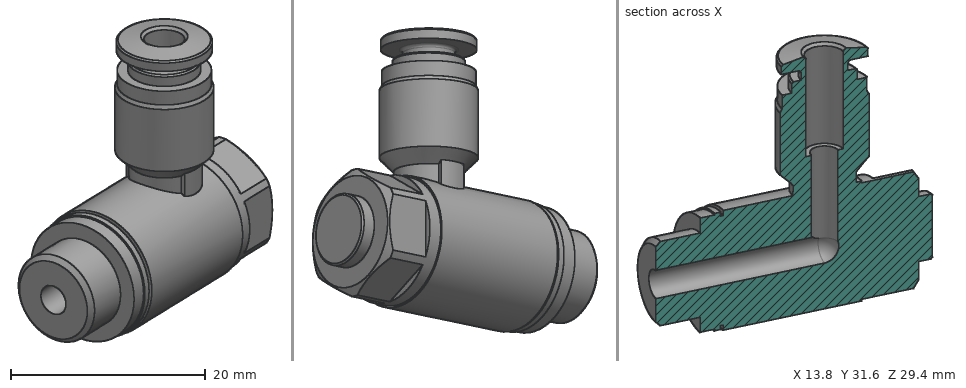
import cadquery as cq
import math

total_length = 31.55
total_height = 29.4
thread_diameter = 9.72
thread_chamfer = 0.55
thread_end = 5.05
seal_diameter = 13.15
seal_end = 6.7
washer_diameter = 13.5
washer_end = 7.4
neck_diameter = 12.62
neck_end = 7.7
body_diameter = 13.8
body_end = 23.47
collar_diameter = 13.4
collar_end = 24.95

hex_across_flats = 12.02
hex_end = 29.97
hex_bevel_diameter = 11.67
hex_bevel_length = 0.6
cap_diameter = 7.5
cap_chamfer = 0.2

port_y = 19.25
stem_diameter = 7.25
stem_top = 8.05
sleeve_diameter = 10.2
sleeve_bottom = 9.53
sleeve_top = 16.65
sleeve_shoulder = 17.07
guide_diameter = 9.72
guide_top = 18.65
collet_diameter = 7.5
collet_top = 19.9
collet_chamfer = 0.2
groove_diameter = 5.4
rim_diameter = 9.9
rim_bottom = 20.98
rim_chamfer = 0.2
rim_edge = 22.12
port_top = total_height - body_diameter / 2
groove_fillet = 0.35

rib_diameter = 8.0
rib_width = 3.05
rib_top = 8.58

inlet_diameter = 3.2
outlet_diameter = 3.0
tube_diameter = 4.2
tube_mouth_chamfer = 0.3
tube_seat = 11.05


def cylinder_y(diameter, start, end):
    """Cylinder on the body axis between two Y stations."""
    return cq.Workplane("XZ", origin=(0, start, 0)).circle(diameter / 2).extrude(start - end)


def cylinder_z(diameter, bottom, top):
    """Cylinder on the port axis between two heights."""
    return cq.Workplane("XY", origin=(0, port_y, bottom)).circle(diameter / 2).extrude(top - bottom)


def make_body():
    body = cylinder_y(thread_diameter, 0, thread_end).faces("<Y").chamfer(thread_chamfer)
    sections = [
        (seal_diameter, thread_end, seal_end),
        (washer_diameter, seal_end, washer_end),
        (neck_diameter, washer_end, neck_end),
        (body_diameter, neck_end, body_end),
        (collar_diameter, body_end, collar_end),
    ]
    for diameter, start, end in sections:
        body = body.union(cylinder_y(diameter, start, end))
    cap = cylinder_y(cap_diameter, hex_end, total_length).faces(">Y").chamfer(cap_chamfer)
    return body.union(cap)


def make_hex_nut():
    """Hexagon with flats facing +X and -X, its corners trimmed round and bevelled."""
    hexagon = (
        cq.Workplane("XZ", origin=(0, collar_end, 0))
        .polygon(6, hex_across_flats, circumscribed=True)
        .extrude(collar_end - hex_end)
    )
    envelope = (
        cq.Workplane("XY")
        .moveTo(0, collar_end)
        .lineTo(collar_diameter / 2, collar_end)
        .lineTo(collar_diameter / 2, hex_end - hex_bevel_length)
        .lineTo(hex_bevel_diameter / 2, hex_end)
        .lineTo(0, hex_end)
        .close()
        .revolve(360, (0, 0, 0), (0, 1, 0))
    )
    return hexagon.intersect(envelope)


def make_port():
    """Stem, sleeve, guide, collet and release rim as one revolved profile."""
    groove_radius = groove_diameter / 2
    rim_radius = rim_diameter / 2
    collet_radius = collet_diameter / 2
    mouth_radius = tube_diameter / 2 + tube_mouth_chamfer
    fillet_offset = groove_fillet * (1 - math.sqrt(0.5))
    port = (
        cq.Workplane("XZ")
        .moveTo(0, 0)
        .lineTo(stem_diameter / 2, 0)
        .lineTo(stem_diameter / 2, stem_top)
        .lineTo(sleeve_diameter / 2, sleeve_bottom)
        .lineTo(sleeve_diameter / 2, sleeve_top)
        .lineTo(guide_diameter / 2, sleeve_shoulder)
        .lineTo(guide_diameter / 2, guide_top)
        .lineTo(collet_radius, guide_top)
        .lineTo(collet_radius, collet_top - collet_chamfer)
        .lineTo(collet_radius - collet_chamfer, collet_top)
        .lineTo(groove_radius, collet_top)
        .lineTo(groove_radius, rim_bottom - groove_fillet)
        .threePointArc(
            (groove_radius + fillet_offset, rim_bottom - fillet_offset),
            (groove_radius + groove_fillet, rim_bottom),
        )
        .lineTo(rim_radius, rim_bottom)
        .lineTo(rim_radius, rim_edge - rim_chamfer)
        .lineTo(rim_radius - rim_chamfer, rim_edge)
        .lineTo(mouth_radius, port_top)
        .lineTo(0, port_top)
        .close()
        .revolve()
    )
    return port.translate((0, port_y, 0))


def make_ribs():
    """Two round-faced ribs left by trimming a disc to the rib width."""
    slab = cq.Workplane("XY", origin=(0, port_y, 0)).rect(rib_diameter, rib_width).extrude(rib_top)
    return cylinder_z(rib_diameter, 0, rib_top).intersect(slab)


def make_passages():
    """Elbow passage: inlet with a spherical end, outlet, tube socket and its bevelled mouth."""
    inlet = cylinder_y(inlet_diameter, 0, port_y)
    inlet_end = cq.Workplane("XY", origin=(0, port_y, 0)).sphere(inlet_diameter / 2)
    outlet = cylinder_z(outlet_diameter, 0, port_top)
    socket = cylinder_z(tube_diameter, tube_seat, port_top)
    mouth = (
        cq.Workplane("XY", origin=(0, port_y, port_top))
        .circle(tube_diameter / 2 + tube_mouth_chamfer)
        .workplane(offset=-tube_mouth_chamfer)
        .circle(tube_diameter / 2)
        .loft()
    )
    return inlet.union(inlet_end).union(outlet).union(socket).union(mouth)


result = make_body().union(make_hex_nut()).union(make_port()).union(make_ribs()).cut(make_passages())